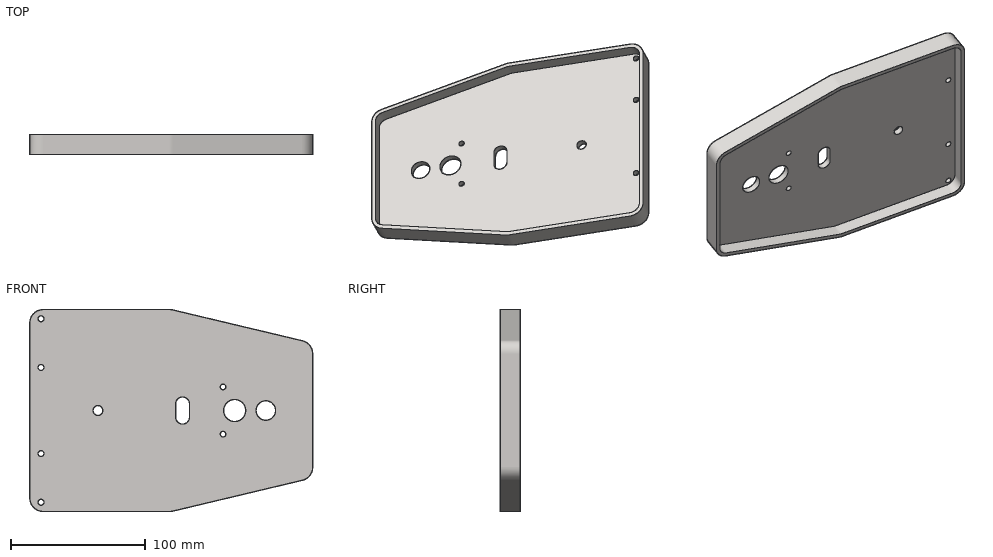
import cadquery as cq

length = 210.0
thickness = 15.0
height = 150.0
end_height = 100.0
taper_start = 105.0
corner_radius = 10.0
shoulder_radius = 10.0

floor_thickness = 5.0
wall_thickness = 3.0

edge_hole_diameter = 4.2
edge_hole_x = 8.5
edge_hole_offsets = (32.0, 68.0)

pivot_x = 50.6
pivot_diameter = 7.1
slot_x = 113.5
slot_length = 20.0
slot_width = 10.0
bore_x = 152.0
bore_diameter = 16.2
end_hole_x = 175.1
end_hole_diameter = 14.3

bore_screw_x = 143.5
bore_screw_spacing = 35.0
bore_screw_diameter = 4.0


def make_plate():
    """Tapered plate, front face on Y = 0, centreline on Z = 0."""
    half_height = height / 2
    half_end = end_height / 2
    plate = (
        cq.Workplane("XZ")
        .polyline([
            (0, -half_height),
            (taper_start, -half_height),
            (length, -half_end),
            (length, half_end),
            (taper_start, half_height),
            (0, half_height),
        ])
        .close()
        .extrude(-thickness)
    )
    plate = plate.edges("|Y and (<X or >X)").fillet(corner_radius)
    middle = cq.selectors.BoxSelector(
        (taper_start - 2, -2, -height), (taper_start + 2, thickness + 2, height)
    )
    return plate.edges("|Y").edges(middle).fillet(shoulder_radius)


def hollow_back(plate):
    """Recess the +Y side, leaving a front floor and an even wall that follows the outline."""
    outline = plate.faces("<Y").wires().val()
    recess = (
        cq.Workplane("XZ")
        .add(outline)
        .toPending()
        .offset2D(-wall_thickness)
        .extrude(-thickness)
        .translate((0, floor_thickness, 0))
    )
    return plate.cut(recess)


def drill(plate, points, diameter):
    """Cut round through holes at the given (X, Z) points."""
    cutter = cq.Workplane("XZ").pushPoints(points).circle(diameter / 2).extrude(-thickness)
    return plate.cut(cutter)


def cut_slot(plate):
    """Cut the round-ended slot that runs along Z."""
    slot = cq.Workplane("XZ").center(slot_x, 0).slot2D(slot_length, slot_width, 90)
    cutter = slot.extrude(-thickness)
    return plate.cut(cutter)


edge_points = [(edge_hole_x, side * z) for z in edge_hole_offsets for side in (-1, 1)]
screw_points = [(bore_screw_x, side * bore_screw_spacing / 2) for side in (-1, 1)]

result = hollow_back(make_plate())
result = drill(result, edge_points, edge_hole_diameter)
result = drill(result, screw_points, bore_screw_diameter)
result = drill(result, [(pivot_x, 0)], pivot_diameter)
result = drill(result, [(bore_x, 0)], bore_diameter)
result = drill(result, [(end_hole_x, 0)], end_hole_diameter)
result = cut_slot(result)